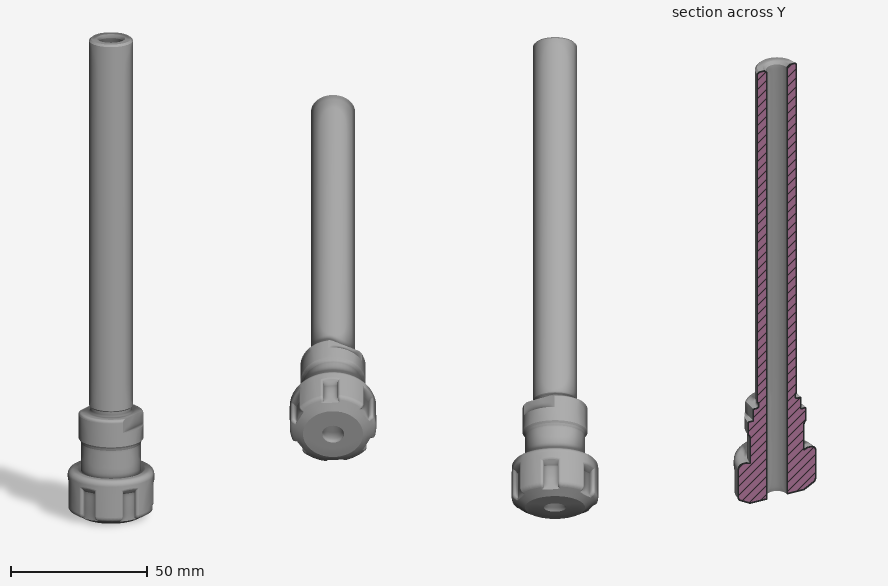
import cadquery as cq
import math

total_length = 182.8
nut_radius = 31.6 / 2
bore_radius = 4.0

overlap = 1.8
margin = 0.2

nut_height = 17.7
nut_top_round = 2.0
nut_bottom_radius = 11.0
nut_cone_height = 2.7
nut_cone_round = 1.8
nut_mouth_radius = 12.5
nut_mouth_depth = 0.5

body_radius = 11.0
body_top = 28.0
collar_radius = 11.9
collar_bottom = 29.6
collar_step_radius = 11.3
collar_step_z = 28.9
collar_top = 39.9
collar_round = 1.1
flat_distance = 9.7
flat_bottom = 35.0

shank_radius = 8.0
shank_bottom = 42.2
neck_radius = 7.5
neck_flare = 0.7
shank_end_chamfer = 0.7
bore_chamfer = 1.1

slot_count = 6
first_slot_angle = 30
slot_width = 5.1
slot_floor_radius = 13.7
slot_roof_z = 12.0
rear_slot_drop = 1.1
slot_edge_round = 1.0


def make_nut():
    """Turned nut with a rounded shoulder, a conical nose and a chamfered mouth."""
    nut = (
        cq.Workplane("XZ")
        .moveTo(0, 0)
        .lineTo(nut_bottom_radius, 0)
        .lineTo(nut_radius, nut_cone_height)
        .lineTo(nut_radius, nut_height - nut_top_round)
        .radiusArc((nut_radius - nut_top_round, nut_height), -nut_top_round)
        .lineTo(nut_mouth_radius, nut_height)
        .lineTo(body_radius, nut_height - nut_mouth_depth)
        .lineTo(0, nut_height - nut_mouth_depth)
        .close()
        .revolve(360, (0, 0, 0), (0, 1, 0))
    )
    cone_edge = cq.selectors.BoxSelector(
        (-nut_radius - overlap, -nut_radius - overlap, nut_cone_height - margin),
        (nut_radius + overlap, nut_radius + overlap, nut_cone_height + margin),
        boundingbox=True,
    )
    return nut.edges(cone_edge).fillet(nut_cone_round)


def make_slot(angle):
    """Flat-floored slot, open at the nose, with a roof rising outward at 45 degrees."""
    drop = rear_slot_drop if math.sin(math.radians(angle)) > 0 else 0
    roof_z = slot_roof_z - drop
    reach = nut_radius + overlap - slot_floor_radius
    return (
        cq.Workplane("XZ")
        .moveTo(slot_floor_radius, -overlap)
        .lineTo(slot_floor_radius + reach, -overlap)
        .lineTo(slot_floor_radius + reach, roof_z + reach)
        .lineTo(slot_floor_radius, roof_z)
        .close()
        .extrude(slot_width / 2, both=True)
        .rotate((0, 0, 0), (0, 0, 1), angle)
    )


def is_slot_rim(edge):
    """True for the slot edges that lie on the nut's cylindrical face."""
    center = edge.Center()
    return math.hypot(center.x, center.y) > nut_radius - margin


def make_slotted_nut():
    nut = make_nut()
    for index in range(slot_count):
        nut = nut.cut(make_slot(first_slot_angle + index * 360 / slot_count))
    return nut.edges("|Z or %ELLIPSE").filter(is_slot_rim).fillet(slot_edge_round)


def make_body():
    """Turned body, wrench collar, relief neck and shank."""
    body_bottom = nut_height / 2
    neck_top = shank_bottom - (shank_radius - neck_radius)
    return (
        cq.Workplane("XZ")
        .moveTo(0, body_bottom)
        .lineTo(body_radius, body_bottom)
        .lineTo(body_radius, body_top)
        .lineTo(collar_step_radius, collar_step_z)
        .lineTo(collar_radius, collar_bottom)
        .lineTo(collar_radius, collar_top - collar_round)
        .radiusArc((collar_radius - collar_round, collar_top), -collar_round)
        .lineTo(neck_radius + neck_flare, collar_top)
        .radiusArc((neck_radius, collar_top + neck_flare), neck_flare)
        .lineTo(neck_radius, neck_top)
        .lineTo(shank_radius, shank_bottom)
        .lineTo(shank_radius, total_length - shank_end_chamfer)
        .lineTo(shank_radius - shank_end_chamfer, total_length)
        .lineTo(0, total_length)
        .close()
        .revolve(360, (0, 0, 0), (0, 1, 0))
    )


def make_wrench_flats():
    """Two blocks that cut the parallel flats on the -X and +X sides of the collar."""
    flat_height = collar_top - flat_bottom
    block = cq.Workplane("XY").box(
        collar_radius, 2 * collar_radius, flat_height, centered=(False, True, False)
    )
    right = block.translate((flat_distance, 0, flat_bottom))
    return right.union(right.mirror("YZ"))


def make_bore():
    """Through bore, countersunk at the shank end."""
    return (
        cq.Workplane("XZ")
        .lineTo(bore_radius, 0)
        .lineTo(bore_radius, total_length - bore_chamfer)
        .lineTo(bore_radius + bore_chamfer, total_length)
        .lineTo(0, total_length)
        .close()
        .revolve(360, (0, 0, 0), (0, 1, 0))
    )


turned_body = make_body().cut(make_wrench_flats())
result = turned_body.union(make_slotted_nut()).cut(make_bore())